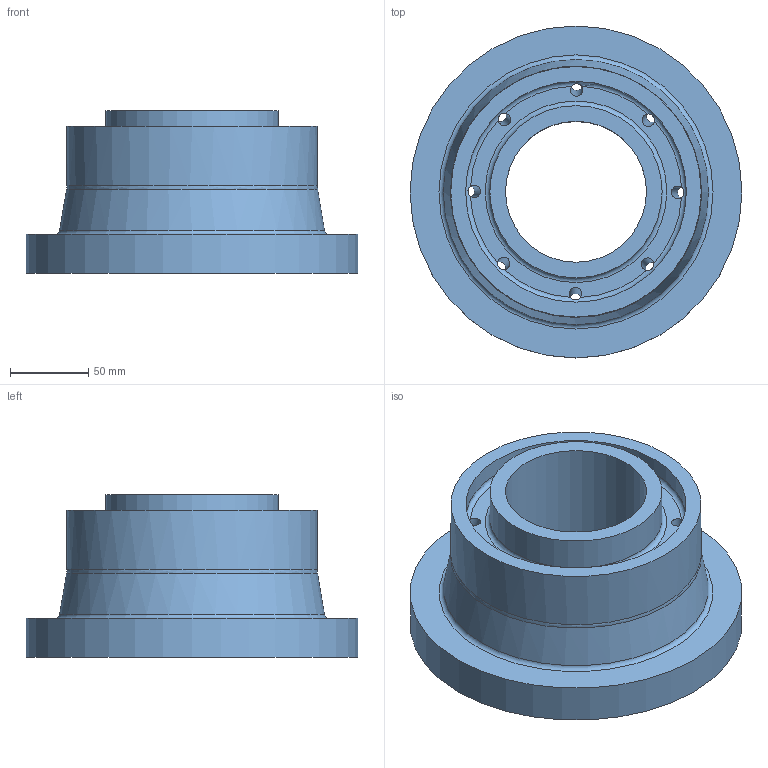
import cadquery as cq
import math

total_height = 104.0
flange_height = 25.0
cone_top_height = 55.0
collar_height = 94.0
groove_floor_height = 80.0

flange_radius = 106.0
cone_base_radius = 85.0
collar_radius = 80.0
groove_outer_radius = 70.5
sleeve_radius = 55.0
bore_radius = 45.0

cone_base_fillet = 3.0
cone_top_fillet = 15.0
groove_fillet = 3.0

hole_count = 8
hole_diameter = 8.0
hole_circle_radius = 65.0
hole_lean = 2.75
hole_ring_turn = -0.3
hole_overrun = 5.0


def circle_edge(solid, radius, height):
    """Select the circular edges that lie at this radius and height."""
    tolerance = 0.01
    edges = [
        edge
        for edge in solid.edges("%CIRCLE").vals()
        if abs(edge.radius() - radius) < tolerance and abs(edge.Center().z - height) < tolerance
    ]
    return solid.newObject(edges)


def turned_body():
    """Flange, cone, collar and sleeve revolved about Z as one bored body."""
    profile = [
        (bore_radius, 0),
        (flange_radius, 0),
        (flange_radius, flange_height),
        (cone_base_radius, flange_height),
        (collar_radius, cone_top_height),
        (collar_radius, collar_height),
        (groove_outer_radius, collar_height),
        (groove_outer_radius, groove_floor_height),
        (sleeve_radius, groove_floor_height),
        (sleeve_radius, total_height),
        (bore_radius, total_height),
    ]
    body = cq.Workplane("XZ").polyline(profile).close().revolve(360, (0, 0), (0, 1))
    body = circle_edge(body, cone_base_radius, flange_height).fillet(cone_base_fillet)
    body = circle_edge(body, collar_radius, cone_top_height).fillet(cone_top_fillet)
    for radius in (groove_outer_radius, sleeve_radius):
        body = circle_edge(body, radius, groove_floor_height).fillet(groove_fillet)
    return body


def leaning_hole(angle):
    """Cutter for one hole, leaning radially outward as it goes down."""
    lean = math.radians(hole_lean)
    direction = cq.Vector(math.sin(lean), 0, -math.cos(lean))
    floor_point = cq.Vector(hole_circle_radius, 0, groove_floor_height)
    start = floor_point - direction * hole_overrun
    length = groove_floor_height / math.cos(lean) + 2 * hole_overrun
    cutter = cq.Solid.makeCylinder(hole_diameter / 2, length, start, direction)
    return cutter.rotate(cq.Vector(0, 0, 0), cq.Vector(0, 0, 1), angle)


result = turned_body()
for index in range(hole_count):
    hole_angle = hole_ring_turn + index * 360 / hole_count
    result = result.cut(cq.Workplane(leaning_hole(hole_angle)))